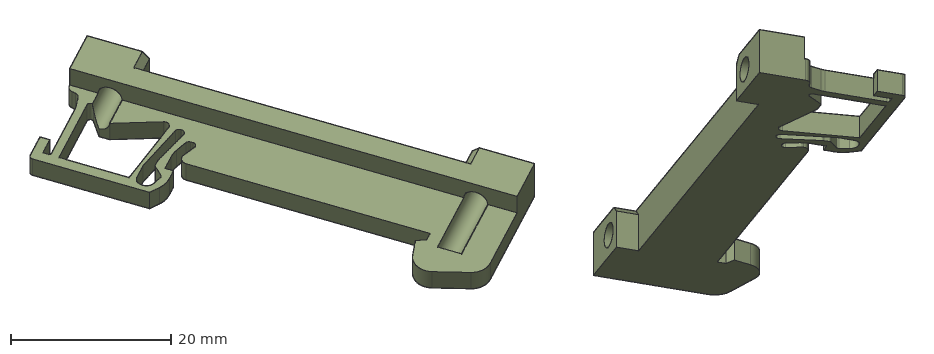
import cadquery as cq
import math

length = 60.2
depth = 19.45
height = 6.0
plate_thickness = height / 2

bar_left = 0.25
bar_front = 13.4
bar_back = 16.5
lug_width = 7.4
lug_chamfer = 0.95

channel_diameter = 3.2
left_channel_x = 5.65
right_channel_x = 54.65
channel_front = 4.4

plate_front = 6.2
foot_thickness = 1.45
leg_outer = 2.35
leg_inner = 3.5
catch_step_x = 16.5
catch_level = 4.5
hook_corner_radius = 2.5
hook_neck_x = 51.35

plate_outline = [
    (bar_left, bar_front, 0),
    (bar_left, 12.65, 0.85),
    (1.85, 12.3, 0.65),
    (leg_outer, 10.25, 2.3),
    (leg_outer, foot_thickness, 0.25),
    (1.3, foot_thickness, 0),
    (1.3, 3.85, 0),
    (0, 3.85, 0),
    (0, 0, 0.5),
    (16.2, 0, 0),
    (17.65, 2.05, 3.3),
    (17.65, catch_level, 0),
    (catch_step_x, catch_level, 0),
    (catch_step_x, 7.3, 3.6),
    (17.45, 9.9, 0.55),
    (18.9, 9.9, 0.5),
    (17.75, 7.2, 0.35),
    (17.75, plate_front, 0.9),
    (hook_neck_x, plate_front, 0),
    (hook_neck_x, 5.05, 0),
    (50.1, 4.4, 0),
    (51.3, -0.7, hook_corner_radius),
    (length, 2.45, hook_corner_radius),
    (length, bar_front, 0),
]

window_outline = [
    (leg_inner, foot_thickness, 0),
    (12.9, foot_thickness, 0),
    (14.55, 12.35, 0.65),
    (7.3, 9.15, 0.3),
    (5.85, 9.15, 0.1),
    (leg_inner, 12.35, 0.4),
]

spring_slot_outline = [
    (13.8, 4.0, 8.0),
    (13.8, 0.85, 1.0),
    (15.8, 0.85, 1.2),
    (16.6, 3.05, 0.35),
    (15.15, 4.45, 0.2),
    (15.15, 5.4, 0.6),
    (16.75, 11.4, 0.55),
    (15.45, 11.4, 0.55),
]


def rounded_corner(before, corner, after):
    """Return the start, middle and end of the tangent arc at a corner."""
    x, y, radius = corner
    point = cq.Vector(x, y)
    to_before = (cq.Vector(before[0], before[1]) - point).normalized()
    to_after = (cq.Vector(after[0], after[1]) - point).normalized()
    half_angle = to_before.getAngle(to_after) / 2
    reach = radius / math.tan(half_angle)
    arc_distance = radius / math.sin(half_angle) - radius
    bisector = (to_before + to_after).normalized()
    return point + to_before * reach, point + bisector * arc_distance, point + to_after * reach


def rounded_prism(corners, thickness):
    """Extrude a closed polygon with rounded corners up from Z = 0."""
    sketch = cq.Workplane("XY").moveTo(corners[0][0], corners[0][1])
    for index in range(1, len(corners)):
        corner = corners[index]
        following = corners[(index + 1) % len(corners)]
        if corner[2] == 0:
            sketch = sketch.lineTo(corner[0], corner[1])
        else:
            start, middle, end = rounded_corner(corners[index - 1], corner, following)
            sketch = sketch.lineTo(start.x, start.y).threePointArc(middle.toTuple(), end.toTuple())
    return sketch.close().extrude(thickness)


def box_between(x_min, x_max, y_min, y_max):
    """Make a full-height block between the given limits."""
    return cq.Workplane("XY").box(x_max - x_min, y_max - y_min, height, centered=False).translate(
        (x_min, y_min, 0)
    )


def make_lugs():
    """Make the two end lugs, chamfered along their facing top edges."""
    base_width = lug_width + lug_chamfer
    left = box_between(bar_left, bar_left + base_width, bar_back, depth)
    left = left.edges(">X and >Z").chamfer(lug_chamfer)
    right = box_between(length - base_width, length, bar_back, depth)
    right = right.edges("<X and >Z").chamfer(lug_chamfer)
    return left.union(right)


def channel(x, y_front):
    """Make a round cutter that runs from y_front out through the back."""
    cutter = cq.Workplane("XZ", origin=(x, y_front, plate_thickness))
    return cutter.circle(channel_diameter / 2).extrude(y_front - depth)


plate = rounded_prism(plate_outline, plate_thickness)
plate = plate.cut(rounded_prism(window_outline, plate_thickness))
plate = plate.cut(rounded_prism(spring_slot_outline, plate_thickness))

bar = box_between(bar_left, length, bar_front, bar_back)
result = plate.union(bar).union(make_lugs())

result = result.cut(channel(left_channel_x, channel_front))
result = result.cut(channel(right_channel_x, channel_front))